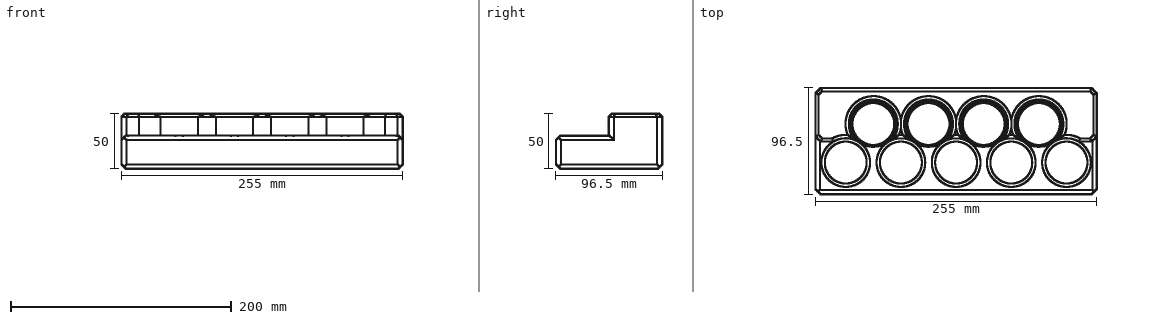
import cadquery as cq

length = 255.0
depth = 96.5
height = 50.0
low_height = 30.0
step_depth = 48.7

corner_chamfer = 4.8
base_chamfer = 4.0
top_chamfer = 3.0
ledge_chamfer = 1.65

well_radius = 38.0 / 2
mouth_radius = well_radius + top_chamfer
back_bore_radius = 22.2
pitch = 50.0
front_count = 5
back_count = 4
front_row_y = -depth / 2 + 28.8
back_row_y = front_row_y + 35.0
front_floor = 5.0
back_floor = 15.0


def row(count, y):
    """Centres of equally spaced wells, symmetric about X = 0."""
    return [((i - (count - 1) / 2) * pitch, y) for i in range(count)]


def chamfered_bore(center, radius, chamfer, bottom, top):
    """Cutter for a bore whose mouth flares at 45 degrees up to the level top."""
    profile = (
        cq.Workplane("XZ", origin=(center[0], center[1], 0))
        .moveTo(0, bottom)
        .lineTo(radius, bottom)
        .lineTo(radius, top - chamfer)
        .lineTo(radius + chamfer, top)
        .lineTo(0, top)
        .close()
    )
    return profile.revolve(360, (0, 0, 0), (0, 1, 0))


def corner_chamfered_block(block_depth, block_height):
    """Block on Z = 0 with bevelled vertical corners."""
    block = cq.Workplane("XY").box(length, block_depth, block_height, centered=(True, True, False))
    return block.edges("|Z").chamfer(corner_chamfer)


low_step = (
    cq.Workplane("XY")
    .box(length, depth, low_height, centered=(True, True, False))
    .faces("<Z or >Z")
    .edges()
    .chamfer(base_chamfer)
    .intersect(corner_chamfered_block(depth, low_height))
)

tall_step = (
    corner_chamfered_block(step_depth, height - base_chamfer)
    .faces(">Z")
    .edges()
    .chamfer(top_chamfer)
    .translate((0, (depth - step_depth) / 2, base_chamfer))
)

result = low_step.union(tall_step)

for center in row(front_count, front_row_y):
    result = result.cut(chamfered_bore(center, mouth_radius, top_chamfer, low_height, height))
    result = result.cut(chamfered_bore(center, well_radius, top_chamfer, front_floor, low_height))

for center in row(back_count, back_row_y):
    result = result.cut(chamfered_bore(center, back_bore_radius, top_chamfer, low_height, height))
    result = result.cut(chamfered_bore(center, well_radius, ledge_chamfer, back_floor, low_height))